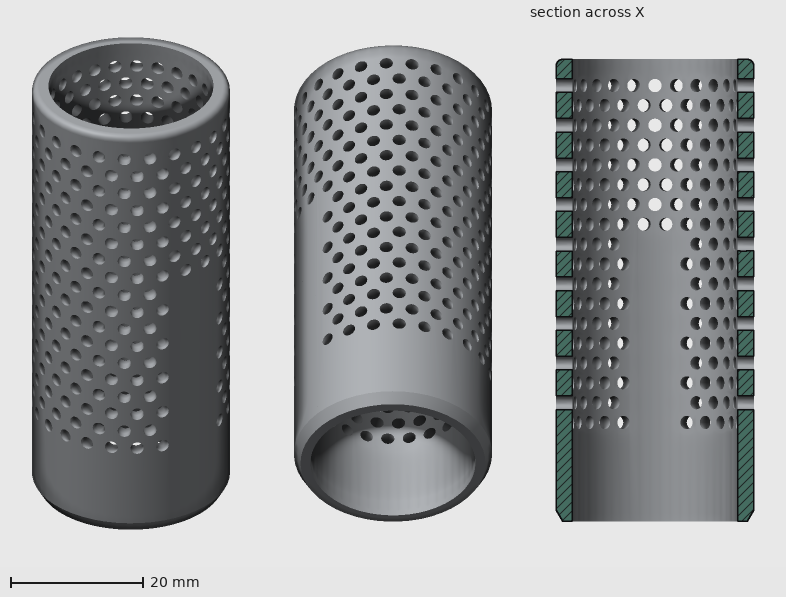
import cadquery as cq
import math

LENGTH = 70.0
OUTER_DIAMETER = 30.0
BORE_DIAMETER = 25.0
TOP_FILLET = 1.0
BOTTOM_CHAMFER_WIDTH = 1.0
BOTTOM_CHAMFER_ANGLE = 30.0

HOLE_DIAMETER = 2.0
HOLES_PER_ROW = 24
ROW_COUNT = 18
ROW_SPACING = 3.0
TOP_ROW_DEPTH = 4.0
FULL_ROW_COUNT = 8
GAP_HALF_ANGLE = 18.0

outer_radius = OUTER_DIAMETER / 2
bore_radius = BORE_DIAMETER / 2
angle_pitch = 360.0 / HOLES_PER_ROW
chamfer_height = BOTTOM_CHAMFER_WIDTH / math.tan(math.radians(BOTTOM_CHAMFER_ANGLE))


def make_sleeve():
    """Revolve the wall section, with its rounded top and tapered bottom edge."""
    fillet_center_x = outer_radius - TOP_FILLET
    fillet_center_z = LENGTH - TOP_FILLET
    fillet_reach = TOP_FILLET * math.sqrt(0.5)
    section = (
        cq.Workplane("XZ")
        .moveTo(bore_radius, 0)
        .lineTo(outer_radius - BOTTOM_CHAMFER_WIDTH, 0)
        .lineTo(outer_radius, chamfer_height)
        .lineTo(outer_radius, fillet_center_z)
        .threePointArc(
            (fillet_center_x + fillet_reach, fillet_center_z + fillet_reach),
            (fillet_center_x, LENGTH),
        )
        .lineTo(bore_radius, LENGTH)
        .close()
    )
    return section.revolve(360, (0, 0, 0), (0, 1, 0))


def is_in_gap(angle):
    """Tell whether a direction falls in a plain strip around +X or -X."""
    angle_from_x_axis = math.degrees(math.asin(abs(math.sin(math.radians(angle)))))
    return angle_from_x_axis < GAP_HALF_ANGLE


def row_angles(row):
    """List the hole directions of one row, counted from the top."""
    stagger = angle_pitch / 2 if row % 2 else 0.0
    angles = [stagger + index * angle_pitch for index in range(HOLES_PER_ROW)]
    if row < FULL_ROW_COUNT:
        return angles
    return [angle for angle in angles if not is_in_gap(angle)]


def make_hole_cutter(angle, height):
    """Make a radial cylinder from just inside the bore to just outside the wall."""
    direction = cq.Vector(math.cos(math.radians(angle)), math.sin(math.radians(angle)), 0)
    clearance = HOLE_DIAMETER / 2
    start = direction * (bore_radius - clearance) + cq.Vector(0, 0, height)
    cutter_length = outer_radius - bore_radius + 2 * clearance
    return cq.Solid.makeCylinder(HOLE_DIAMETER / 2, cutter_length, start, direction)


def make_hole_cutters():
    """Make the cutters of every ball hole."""
    cutters = []
    for row in range(ROW_COUNT):
        height = LENGTH - TOP_ROW_DEPTH - row * ROW_SPACING
        for angle in row_angles(row):
            cutters.append(make_hole_cutter(angle, height))
    return cutters


sleeve = make_sleeve().val()
result = cq.Workplane(sleeve.cut(*make_hole_cutters())).solids()